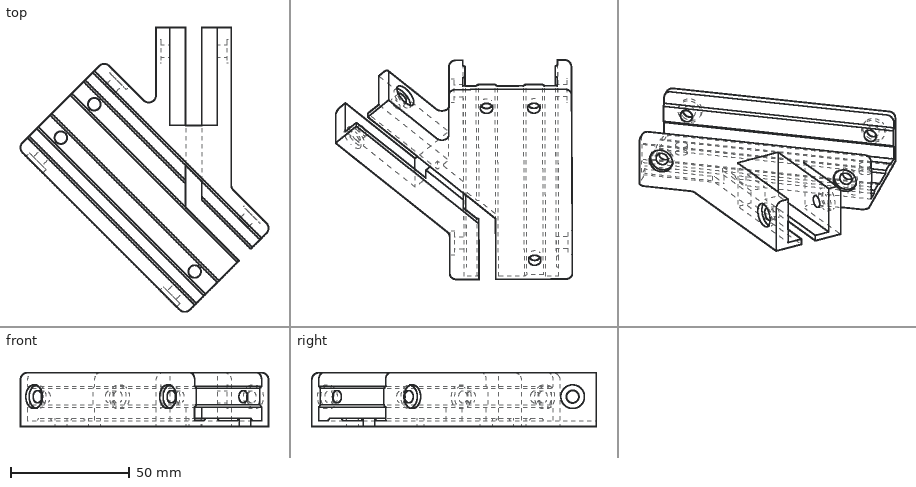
import cadquery as cq
import math

RAIL = 20.0
FLOOR = 2.54
ROUND = 3.0
WALL = 5.94
HEIGHT = 22.86
MID_Z = (FLOOR + HEIGHT) / 2

BODY_LENGTH = 100.0
CHANNEL_WIDTH = 2 * RAIL
BODY_WIDTH = CHANNEL_WIDTH + 2 * WALL
BODY_ANGLE = -45.0

KEY_BASE = 9.0
KEY_HEIGHT = 1.0
KEY_TOP = KEY_BASE - 2 * KEY_HEIGHT

ARM_WIDTH = RAIL + 2 * WALL
ARM_X = BODY_WIDTH / math.sqrt(2) - ARM_WIDTH / 2
ARM_END = 67.83
ARM_ROOT = -RAIL / 2
POCKET_LENGTH = 41.4
SLOT_WIDTH = 6.8
SLOT_TOP = MID_Z - KEY_BASE / 2

HOLE_DIAMETER = 5.2
COUNTERBORE_DIAMETER = 10.0
COUNTERBORE_DEPTH = 2.0
HOLE_INSET = 10.0

OVERCUT = 1.0


def block(x0, x1, y0, y1, z0, z1):
    """Axis-aligned box between the given limits."""
    return cq.Workplane("XY").box(x1 - x0, y1 - y0, z1 - z0, centered=False).translate((x0, y0, z0))


def turn(shape):
    """Turn a shape from body axes (length along X) into its final direction."""
    return shape.rotate((0, 0, 0), (0, 0, 1), BODY_ANGLE)


def outer_shell():
    """Body and arm as one solid block, rounded everywhere except on the arm's end face."""
    body = turn(cq.Workplane("XY").box(BODY_LENGTH, BODY_WIDTH, HEIGHT, centered=(True, True, False)))
    arm = block(ARM_X - ARM_WIDTH / 2, ARM_X + ARM_WIDTH / 2, ARM_ROOT, ARM_END, 0, HEIGHT)
    shell = body.union(arm).clean()

    def off_arm_end(edge):
        return edge.BoundingBox().ymax < ARM_END - OVERCUT

    shell = shell.edges("|Z").filter(off_arm_end).fillet(ROUND)
    arm_end_edge = cq.selectors.BoxSelector(
        (ARM_X - ARM_WIDTH, ARM_END - OVERCUT, HEIGHT - OVERCUT),
        (ARM_X + ARM_WIDTH, ARM_END + OVERCUT, HEIGHT + OVERCUT),
    )
    return shell.faces(">Z").edges(cq.selectors.InverseSelector(arm_end_edge)).fillet(ROUND)


def key(base_center, turn_angle):
    """Trapezoid bar along the body; stands on base_center (y, z), turned about X from +Z."""
    bar = (
        cq.Workplane("YZ")
        .polyline([
            (-KEY_BASE / 2, 0),
            (KEY_BASE / 2, 0),
            (KEY_TOP / 2, KEY_HEIGHT),
            (-KEY_TOP / 2, KEY_HEIGHT),
        ])
        .close()
        .extrude(BODY_LENGTH / 2 + OVERCUT, both=True)
    )
    return bar.rotate((0, 0, 0), (1, 0, 0), turn_angle).translate((0, *base_center))


def channel():
    """Cutter for the body rail: open at the top and both ends, less the four keys."""
    half_length = BODY_LENGTH / 2 + OVERCUT
    half_width = CHANNEL_WIDTH / 2
    cutter = block(-half_length, half_length, -half_width, half_width, FLOOR, HEIGHT + OVERCUT)
    for side in (-1, 1):
        cutter = cutter.cut(key((side * RAIL / 2, FLOOR), 0))
        cutter = cutter.cut(key((side * half_width, MID_Z), side * 90))
    return turn(cutter)


def arm_pocket():
    """Cutter for the arm rail, open at the top and at the arm's end."""
    half_width = RAIL / 2
    return block(
        ARM_X - half_width, ARM_X + half_width,
        ARM_END - POCKET_LENGTH, ARM_END + OVERCUT,
        FLOOR, HEIGHT + OVERCUT,
    )


def groove_slot():
    """Bottom slot: along the arm's axis into the channel, then along the channel's near groove."""
    left = ARM_X - SLOT_WIDTH / 2
    right = ARM_X + SLOT_WIDTH / 2
    groove_y = RAIL / 2
    along_groove = turn(block(
        -BODY_LENGTH, BODY_LENGTH,
        groove_y - KEY_TOP / 2, groove_y + KEY_TOP / 2,
        -OVERCUT, SLOT_TOP,
    ))
    right_of_arm_slot = block(left, BODY_LENGTH, -BODY_LENGTH, BODY_LENGTH, -OVERCUT, SLOT_TOP)
    along_groove = along_groove.intersect(right_of_arm_slot)

    arm_stretch = block(left, right, -BODY_LENGTH, ARM_END + OVERCUT, -OVERCUT, SLOT_TOP)
    beyond_groove = turn(block(
        -BODY_LENGTH, BODY_LENGTH,
        groove_y - KEY_TOP / 2, BODY_LENGTH,
        -OVERCUT, SLOT_TOP,
    ))
    return along_groove.union(arm_stretch.intersect(beyond_groove))


def cross_hole(width):
    """Cutter along Y through both walls of a rail seat of this outer width, counterbored outside."""
    half = width / 2
    cutter = cq.Workplane("XZ").circle(HOLE_DIAMETER / 2).extrude(half + OVERCUT, both=True)
    for side in (-1, 1):
        counterbore = (
            cq.Workplane("XZ", origin=(0, side * (half - COUNTERBORE_DEPTH), 0))
            .circle(COUNTERBORE_DIAMETER / 2)
            .extrude(-side * (COUNTERBORE_DEPTH + OVERCUT))
        )
        cutter = cutter.union(counterbore)
    return cutter


def wall_holes():
    """Screw holes through the walls: two pairs on the body, one pair on the arm."""
    hole_x = BODY_LENGTH / 2 - HOLE_INSET
    arm_hole = cross_hole(ARM_WIDTH).rotate((0, 0, 0), (0, 0, 1), 90)
    holes = arm_hole.translate((ARM_X, ARM_END - HOLE_INSET, MID_Z))
    for end in (-1, 1):
        holes = holes.union(turn(cross_hole(BODY_WIDTH).translate((end * hole_x, 0, MID_Z))))
    return holes


def floor_holes():
    """Screw holes through the floor keys; the slot takes the place of the fourth."""
    hole_x = BODY_LENGTH / 2 - HOLE_INSET
    hole_y = RAIL / 2
    return turn(
        cq.Workplane("XY")
        .pushPoints([(-hole_x, hole_y), (-hole_x, -hole_y), (hole_x, -hole_y)])
        .circle(HOLE_DIAMETER / 2)
        .extrude(MID_Z)
    )


result = outer_shell()
for cutter in (channel(), arm_pocket(), groove_slot(), wall_holes(), floor_holes()):
    result = result.cut(cutter)